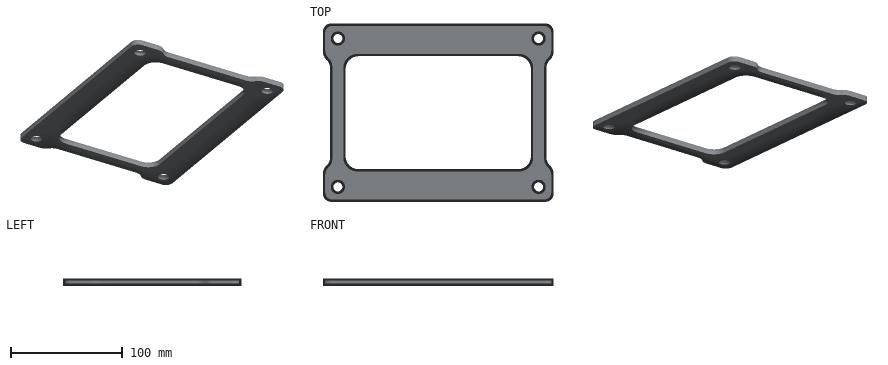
import cadquery as cq
import math

length = 205
width = 158.0
thickness = 5.0
corner_radius = 7.0

hole_diameter = 10.2
hole_inset = 12.5

window_length = 168
window_width = 103.1
window_radius = 12.0

ear_straight_end = 23.5
recess_depth = 6.4
blend_radius = 10.0
blend_angle = math.radians(45)


def recess_cutter():
    """Recess on the +X side, entered at each end by an S-shaped blend."""
    half_length = length / 2
    floor_x = half_length - recess_depth
    mouth_y = width / 2 - ear_straight_end
    arc_x = blend_radius * (1 - math.cos(blend_angle))
    arc_y = blend_radius * math.sin(blend_angle)
    mid_x = blend_radius * (1 - math.cos(blend_angle / 2))
    mid_y = blend_radius * math.sin(blend_angle / 2)
    ramp_y = (recess_depth - 2 * arc_x) / math.tan(blend_angle)
    floor_y = mouth_y - 2 * arc_y - ramp_y

    return (
        cq.Workplane("XY")
        .moveTo(half_length, mouth_y)
        .threePointArc((half_length - mid_x, mouth_y - mid_y), (half_length - arc_x, mouth_y - arc_y))
        .lineTo(floor_x + arc_x, floor_y + arc_y)
        .threePointArc((floor_x + mid_x, floor_y + mid_y), (floor_x, floor_y))
        .lineTo(floor_x, -floor_y)
        .threePointArc((floor_x + mid_x, -floor_y - mid_y), (floor_x + arc_x, -floor_y - arc_y))
        .lineTo(half_length - arc_x, -mouth_y + arc_y)
        .threePointArc((half_length - mid_x, -mouth_y + mid_y), (half_length, -mouth_y))
        .close()
        .extrude(thickness)
    )


def rounded_slab(size_x, size_y, radius):
    """Slab of the plate's thickness with rounded vertical edges."""
    return (
        cq.Workplane("XY")
        .box(size_x, size_y, thickness, centered=(True, True, False))
        .edges("|Z")
        .fillet(radius)
    )


plate = rounded_slab(length, width, corner_radius)
window = rounded_slab(window_length, window_width, window_radius)
holes = (
    cq.Workplane("XY")
    .rect(length - 2 * hole_inset, width - 2 * hole_inset, forConstruction=True)
    .vertices()
    .circle(hole_diameter / 2)
    .extrude(thickness)
)

result = plate.cut(window).cut(holes)
recess = recess_cutter()
for side in (recess, recess.mirror("YZ")):
    result = result.cut(side)